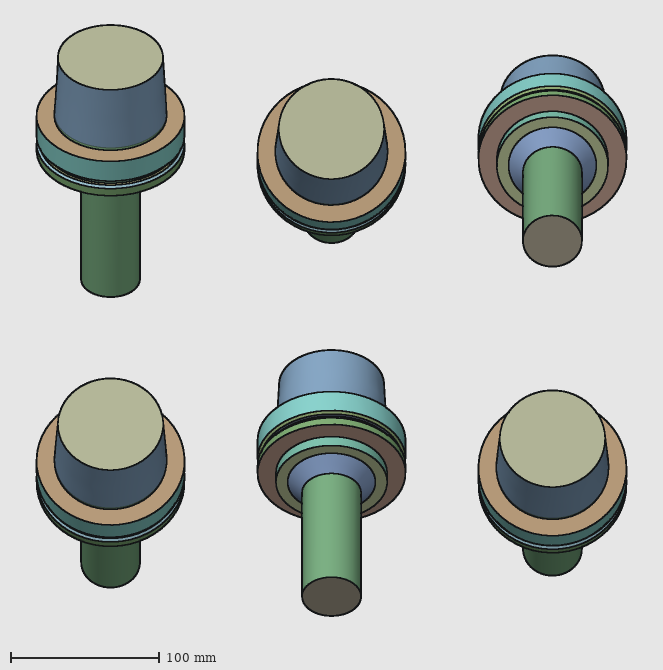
import cadquery as cq

total_height = 190.0
taper_height = 50.0
bottom_z = taper_height - total_height

collar_radius = 75.8 / 2
collar_height = 2.3
taper_ratio = 1 / 10
taper_top_radius = collar_radius - (taper_height - collar_height) * taper_ratio / 2

flange_radius = 100.0 / 2
flange_height = 29.5
groove_root_radius = 92.0 / 2
groove_top_z = -17.0
upper_bevel_height = 1.5
groove_shoulder_radius = 48.0
groove_root_height = 3.5
lower_bevel_height = 1.5

boss_radius = 75.0 / 2
boss_height = 8.0
shank_radius = 20.0
neck_height = 9.7
neck_top_radius = shank_radius + neck_height

root_top_z = groove_top_z - upper_bevel_height
root_bottom_z = root_top_z - groove_root_height
groove_bottom_z = root_bottom_z - lower_bevel_height
flange_bottom_z = -flange_height
boss_bottom_z = flange_bottom_z - boss_height
neck_bottom_z = boss_bottom_z - neck_height

half_profile = [
    (0, taper_height),
    (taper_top_radius, taper_height),
    (collar_radius, collar_height),
    (collar_radius, 0),
    (flange_radius, 0),
    (flange_radius, groove_top_z),
    (groove_shoulder_radius, root_top_z),
    (groove_root_radius, root_top_z),
    (groove_root_radius, root_bottom_z),
    (groove_shoulder_radius, root_bottom_z),
    (flange_radius, groove_bottom_z),
    (flange_radius, flange_bottom_z),
    (boss_radius, flange_bottom_z),
    (boss_radius, boss_bottom_z),
    (neck_top_radius, boss_bottom_z),
    (shank_radius, neck_bottom_z),
    (shank_radius, bottom_z),
    (0, bottom_z),
]

result = cq.Workplane("XZ").polyline(half_profile).close().revolve(360, (0, 0, 0), (0, 1, 0))